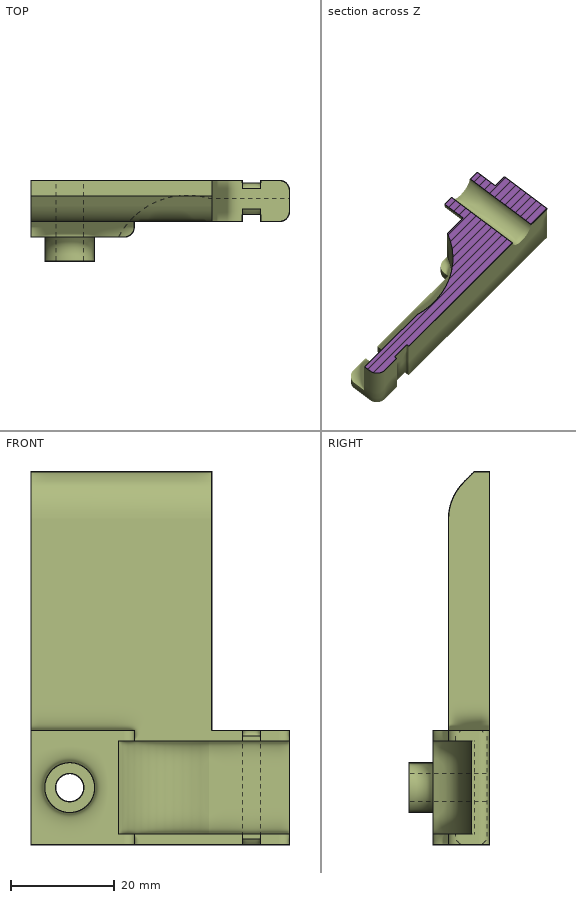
import cadquery as cq
import math

base_length = 50.0
base_height = 22.15
thickness = 8.0

plate_width = 35.0
plate_height = 50.0
plate_chamfer = 5.0
plate_slope_angle = math.radians(45)
plate_blend_radius = 10.0

pad_length = 20.0
pad_front = 11.0
corner_radius = 2.0

channel_height = 18.0
flange = (base_height - channel_height) / 2
channel_start = 16.9
channel_floor_start = 34.5
channel_floor = 3.5
channel_arc_radius = 15.0

notch_start = 40.9
notch_width = 3.5
front_notch_depth = 1.35
back_notch_depth = 0.5
notch_bevel = 1.1

boss_x = 7.5
boss_z = base_height / 2
boss_diameter = 9.65
boss_length = 4.65
boss_front = pad_front + boss_length
hole_diameter = 5.4


def make_base():
    """Base bar with rounded free end and the pad on its front."""
    bar = cq.Workplane("XY").box(base_length, thickness, base_height, centered=False)
    bar = bar.translate((0, -thickness, 0)).edges("|Z and >X").fillet(corner_radius)
    pad = cq.Workplane("XY").box(pad_length, pad_front, base_height, centered=False)
    pad = pad.translate((0, -pad_front, 0)).edges("|Z and >X and <Y").fillet(corner_radius)
    return bar.union(pad)


def make_plate():
    """Upright plate whose top front edge has a 45 degree slope blended into the face."""
    top = base_height + plate_height
    half_angle = plate_slope_angle / 2
    blend_reach = plate_blend_radius * math.tan(half_angle)
    blend_start_y = -thickness + blend_reach * math.sin(plate_slope_angle)
    blend_start_z = top - plate_chamfer + blend_reach * math.cos(plate_slope_angle)
    blend_end_z = top - plate_chamfer - blend_reach
    blend_center_y = -thickness + plate_blend_radius
    blend_mid = (
        blend_center_y - plate_blend_radius * math.cos(half_angle),
        blend_end_z + plate_blend_radius * math.sin(half_angle),
    )
    return (
        cq.Workplane("YZ")
        .moveTo(0, base_height)
        .lineTo(0, top)
        .lineTo(-thickness + plate_chamfer, top)
        .lineTo(blend_start_y, blend_start_z)
        .threePointArc(blend_mid, (-thickness, blend_end_z))
        .lineTo(-thickness, base_height)
        .close()
        .extrude(plate_width)
    )


def make_channel():
    """Cutter for the channel: a hollow round stretch, then a flat floor to the free end."""
    return (
        cq.Workplane("XY")
        .workplane(offset=flange)
        .moveTo(channel_start, -pad_front)
        .radiusArc((channel_floor_start, -channel_floor), channel_arc_radius)
        .lineTo(base_length, -channel_floor)
        .lineTo(base_length, -pad_front)
        .close()
        .extrude(channel_height)
    )


def make_notch(face_y, inward, depth):
    """Cutter for a full-height notch in the face at face_y, bevelled at top and bottom.

    inward is +1 or -1, the Y direction that leads into the material.
    """
    floor_y = face_y + inward * depth
    bevel_y = floor_y + inward * notch_bevel
    return (
        cq.Workplane("YZ")
        .workplane(offset=notch_start)
        .moveTo(face_y, 0)
        .lineTo(bevel_y, 0)
        .lineTo(floor_y, notch_bevel)
        .lineTo(floor_y, base_height - notch_bevel)
        .lineTo(bevel_y, base_height)
        .lineTo(face_y, base_height)
        .close()
        .extrude(notch_width)
    )


def front_cylinder(diameter, front, back):
    """Cylinder on the boss axis between two distances from the back face."""
    return (
        cq.Workplane("XZ", origin=(boss_x, -back, boss_z))
        .circle(diameter / 2)
        .extrude(front - back)
    )


result = make_base().union(make_plate()).cut(make_channel())
result = result.cut(make_notch(-thickness, 1, front_notch_depth))
result = result.cut(make_notch(0, -1, back_notch_depth))
result = result.union(front_cylinder(boss_diameter, boss_front, thickness))
result = result.cut(front_cylinder(hole_diameter, boss_front, 0))